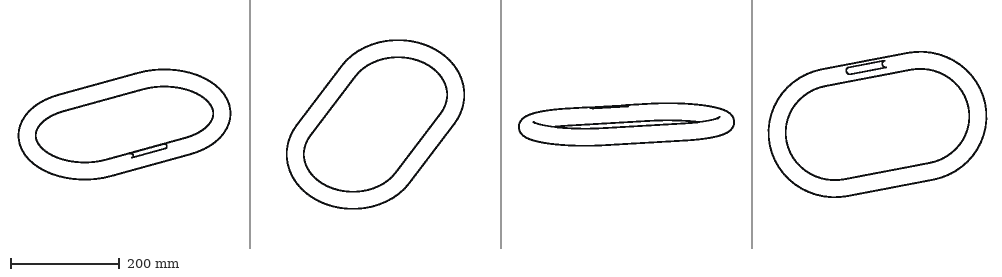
import cadquery as cq

length = 404.0
width = 244.0
bar_diameter = 32.0

flat_width = 13.5
flat_depth = 1.5
flat_rear_y = 31.5
flat_front_y = -36.0
end_radius = 12.0

bar_radius = bar_diameter / 2
bend_radius = width / 2 - bar_radius
straight_half = (length - width) / 2
floor_z = bar_radius - flat_depth


def make_ring():
    """Round bar swept along a closed oval centreline."""
    path = (
        cq.Workplane("XY")
        .moveTo(bend_radius, -straight_half)
        .lineTo(bend_radius, straight_half)
        .threePointArc((0, straight_half + bend_radius), (-bend_radius, straight_half))
        .lineTo(-bend_radius, -straight_half)
        .threePointArc((0, -straight_half - bend_radius), (bend_radius, -straight_half))
        .close()
    )
    start = cq.Workplane("XZ", origin=(bend_radius, -straight_half, 0))
    return start.circle(bar_radius).sweep(path)


def make_flat_cutter():
    """Flat floor, concave at the +Y end and rolled over at the -Y end."""
    rear_top_y = flat_rear_y + end_radius
    rear_top_z = floor_z + end_radius
    diagonal = end_radius * 0.5 ** 0.5
    pocket = (
        cq.Workplane("YZ", origin=(bend_radius, 0, 0))
        .moveTo(flat_front_y, floor_z)
        .lineTo(flat_rear_y, floor_z)
        .threePointArc(
            (flat_rear_y + diagonal, rear_top_z - diagonal),
            (rear_top_y, rear_top_z),
        )
        .lineTo(flat_front_y, rear_top_z)
        .close()
        .extrude(flat_width / 2, both=True)
    )

    axis_z = bar_radius - end_radius
    half_chord = (bar_radius**2 - axis_z**2) ** 0.5
    rolled_end = (
        cq.Workplane("XZ", origin=(bend_radius, flat_front_y, 0))
        .moveTo(-half_chord, axis_z)
        .threePointArc((0, bar_radius), (half_chord, axis_z))
        .close()
        .revolve(360, (0, axis_z, 0), (1, axis_z, 0))
    )
    return pocket.cut(rolled_end)


result = make_ring().cut(make_flat_cutter())